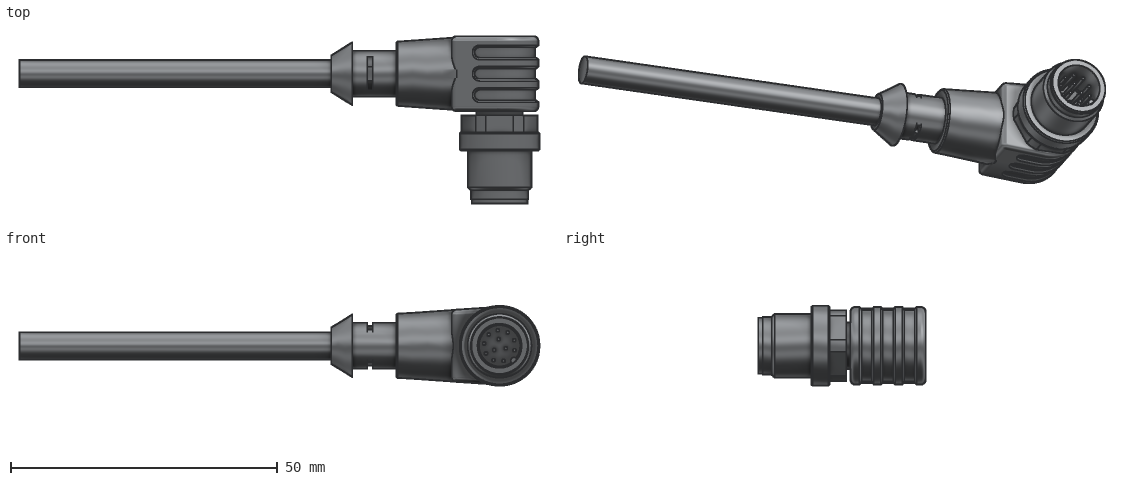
import cadquery as cq
import math

OVERLAP = 1.0

NUT_DIA = 15.0
TOTAL_LENGTH = 97.55
CABLE_START = NUT_DIA / 2 - TOTAL_LENGTH
CABLE_DIA = 5.2
CONE_START = -31.6
CONE_END = -27.6
CONE_SMALL_DIA = 6.8
CONE_LARGE_DIA = 11.8
NECK_DIA = 8.7

WINDOW_CENTRE = -24.3
WINDOW_WIDTH = 1.0
WINDOW_LENGTH = 6.3
WINDOW_FLOOR_DIA = 6.6
BRIDGE_WIDTH = 2.5
BRIDGE_HEIGHT = 7.5

HOUSING_BACK = -9.0
HOUSING_BACK_HEIGHT = 13.5
HOUSING_END_RADIUS = 7.3
HOUSING_DEPTH = 14.1
HOUSING_FILLET = 1.0

SLEEVE_START = -19.4
SLEEVE_START_DIA = 12.1
SLEEVE_END = HOUSING_BACK + HOUSING_FILLET
SLEEVE_END_DIA = 13.7
SLEEVE_CHAMFER = 0.3

GRIP_PITCH = 4.0
GRIP_COUNT = 3
GRIP_FLOOR_WIDTH = 1.95
GRIP_CHAMFER = 0.4
GRIP_DEPTH = 0.6
GRIP_BACK = GRIP_CHAMFER - 5.1

PLUG_NECK_DIA = 8.8
HEX_START = -7.8
HEX_ACROSS_FLATS = 13.4
HEX_CORNER_DIA = 14.3
NUT_START = -10.9
NUT_END = -14.4
NUT_CHAMFER = 0.3
THREAD_DIA = 12.0
THREAD_END = -21.3
TIP_DIA = 10.8
TIP_START = -21.85
RIM_DIA = 10.5
RIM_START = -23.5
TOTAL_DEPTH = 31.4
PLUG_END = HOUSING_DEPTH / 2 - TOTAL_DEPTH

BORE_DIA = 8.3
BORE_FLOOR_DIA = 7.7
BORE_DEPTH = 8.8
BORE_FLOOR = PLUG_END + BORE_DEPTH
PIN_DIA = 0.6
PIN_RECESS = 1.95
KEY_ANGLE = -46.0
KEY_DIA = 1.3
KEY_RADIUS = 3.9
KEY_RECESS = 0.6
OUTER_PIN_COUNT = 9
OUTER_PIN_PITCH_ANGLE = 37.7
OUTER_PIN_RADIUS = 2.9
FIRST_OUTER_PIN_ANGLE = KEY_ANGLE + 180 - OUTER_PIN_PITCH_ANGLE * (OUTER_PIN_COUNT - 1) / 2
INNER_PIN_COUNT = 3
INNER_PIN_PITCH_ANGLE = 120.0
INNER_PIN_RADIUS = 1.3
FIRST_INNER_PIN_ANGLE = 98.0


def plug_cylinder(diameter, start, end):
    """Cylinder on the plug axis from Y = start down to Y = end."""
    return cq.Workplane("XZ", origin=(0, start, 0)).circle(diameter / 2).extrude(start - end)


def make_cable():
    outline = [
        (CABLE_START, 0),
        (CABLE_START, CABLE_DIA / 2),
        (CONE_START, CABLE_DIA / 2),
        (CONE_START, CONE_SMALL_DIA / 2),
        (CONE_END, CONE_LARGE_DIA / 2),
        (CONE_END, NECK_DIA / 2),
        (SLEEVE_START, NECK_DIA / 2),
        (SLEEVE_START, SLEEVE_START_DIA / 2 - SLEEVE_CHAMFER),
        (SLEEVE_START + SLEEVE_CHAMFER, SLEEVE_START_DIA / 2),
        (SLEEVE_END, SLEEVE_END_DIA / 2),
        (SLEEVE_END, 0),
    ]
    cable = cq.Workplane("XY").polyline(outline).close().revolve(360, (0, 0, 0), (1, 0, 0))
    window_ring = (
        cq.Workplane("YZ", origin=(WINDOW_CENTRE - WINDOW_WIDTH / 2, 0, 0))
        .circle(NECK_DIA)
        .circle(WINDOW_FLOOR_DIA / 2)
        .extrude(WINDOW_WIDTH)
    )
    window_span = (
        cq.Workplane("XY")
        .center(WINDOW_CENTRE, 0)
        .rect(2 * WINDOW_WIDTH, WINDOW_LENGTH)
        .extrude(NECK_DIA, both=True)
    )
    bridge = (
        cq.Workplane("XY")
        .center(WINDOW_CENTRE, 0)
        .rect(WINDOW_WIDTH, BRIDGE_WIDTH)
        .extrude(BRIDGE_HEIGHT / 2, both=True)
    )
    return cable.cut(window_ring.intersect(window_span)).union(bridge)


def housing_block(inset, depth):
    """Housing outline moved inward by inset, extruded evenly about Y = 0."""
    back_half_height = HOUSING_BACK_HEIGHT / 2
    back_distance = math.hypot(HOUSING_BACK, back_half_height)
    tangent_angle = math.atan2(back_half_height, HOUSING_BACK) - math.acos(HOUSING_END_RADIUS / back_distance)
    radius = HOUSING_END_RADIUS - inset
    tangent_x = radius * math.cos(tangent_angle)
    tangent_z = radius * math.sin(tangent_angle)
    back_z = tangent_z + (tangent_x - HOUSING_BACK) / math.tan(tangent_angle)
    return (
        cq.Workplane("XZ")
        .moveTo(HOUSING_BACK, -back_z)
        .lineTo(tangent_x, -tangent_z)
        .threePointArc((radius, 0), (tangent_x, tangent_z))
        .lineTo(HOUSING_BACK, back_z)
        .close()
        .extrude(depth / 2, both=True)
    )


def make_housing():
    housing = housing_block(0, HOUSING_DEPTH).edges().fillet(HOUSING_FILLET)
    core = housing_block(GRIP_DEPTH, HOUSING_DEPTH)
    slot_length = 4 * HOUSING_END_RADIUS
    for index in range(GRIP_COUNT):
        centre_y = (index - (GRIP_COUNT - 1) / 2) * GRIP_PITCH
        slot = (
            cq.Workplane("XY")
            .center(GRIP_BACK + slot_length / 2, centre_y)
            .slot2D(slot_length, GRIP_FLOOR_WIDTH)
            .extrude(2 * HOUSING_END_RADIUS, both=True)
        )
        housing = housing.cut(slot.cut(core))
        mouth_back = (GRIP_BACK, centre_y, 2 * HOUSING_END_RADIUS)
        housing = housing.edges(cq.NearestToPointSelector(mouth_back)).chamfer(GRIP_CHAMFER)
    return housing


def make_plug():
    neck = plug_cylinder(PLUG_NECK_DIA, -HOUSING_DEPTH / 2 + OVERLAP, HEX_START - OVERLAP)
    hex_corner_to_corner = HEX_ACROSS_FLATS / math.cos(math.pi / 6)
    hexagon = (
        cq.Workplane("XZ", origin=(0, HEX_START, 0))
        .polygon(6, hex_corner_to_corner)
        .extrude(HEX_START - NUT_START)
        .intersect(plug_cylinder(HEX_CORNER_DIA, HEX_START, NUT_START))
    )
    nut = plug_cylinder(NUT_DIA, NUT_START, NUT_END).faces("<Y or >Y").chamfer(NUT_CHAMFER)
    outline = [
        (0, NUT_END + OVERLAP),
        (THREAD_DIA / 2, NUT_END + OVERLAP),
        (THREAD_DIA / 2, THREAD_END),
        (TIP_DIA / 2, TIP_START),
        (TIP_DIA / 2, RIM_START),
        (RIM_DIA / 2, RIM_START),
        (RIM_DIA / 2, PLUG_END),
        (0, PLUG_END),
    ]
    barrel = cq.Workplane("XY").polyline(outline).close().revolve(360, (0, 0, 0), (0, 1, 0))
    bore = plug_cylinder(BORE_DIA, BORE_FLOOR, PLUG_END)
    bore = bore.faces(">Y").chamfer((BORE_DIA - BORE_FLOOR_DIA) / 2)
    return neck.union(hexagon).union(nut).union(barrel).cut(bore)


def make_pins(count, ring_radius, first_angle, pitch_angle):
    """Contacts on an arc about the plug axis, standing on the bore floor."""
    pin = plug_cylinder(PIN_DIA, BORE_FLOOR + OVERLAP, PLUG_END + PIN_RECESS)
    pin = pin.translate((ring_radius, 0, 0))
    pins = cq.Workplane("XY")
    for index in range(count):
        angle = first_angle + index * pitch_angle
        pins = pins.add(pin.rotate((0, 0, 0), (0, 1, 0), -angle))
    return pins.combine()


def make_key():
    """Round-nosed coding rib on the bore wall."""
    key = plug_cylinder(KEY_DIA, BORE_FLOOR + OVERLAP, PLUG_END + KEY_RECESS)
    return key.translate((KEY_RADIUS, 0, 0)).rotate((0, 0, 0), (0, 1, 0), -KEY_ANGLE)


result = (
    make_housing()
    .union(make_cable())
    .union(make_plug())
    .union(make_pins(OUTER_PIN_COUNT, OUTER_PIN_RADIUS, FIRST_OUTER_PIN_ANGLE, OUTER_PIN_PITCH_ANGLE))
    .union(make_pins(INNER_PIN_COUNT, INNER_PIN_RADIUS, FIRST_INNER_PIN_ANGLE, INNER_PIN_PITCH_ANGLE))
    .union(make_key())
)